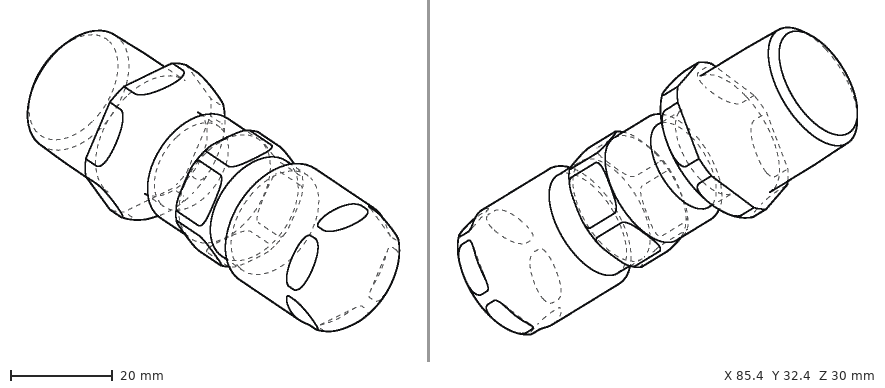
import cadquery as cq
import math

hex_sides = 6

tip_diameter = 23.0
tip_chamfer_length = 1.45
taper_start_diameter = 26.1
taper_end = 10.2
entry_diameter = 26.6
collar_start = 22.7
collar_end = 28.85
collar_flats = 30.0
collar_corners = 32.4
collar_round = 3.0
entry_root_fillet = 0.5
neck_diameter = 19.1
neck_root_fillet = 0.8

sleeve_start = 35.8
sleeve_diameter = 23.6
sleeve_round = 1.0
hex_start = 45.8
hex_end = 54.9
nut_flats = 24.0
nut_corners = 26.5
hex_round = 1.4
spigot_diameter = 22.6

cap_start = 61.1
cap_end = 85.35
cap_diameter = nut_corners
cap_rim_round = 0.9
cap_end_round = 3.1
cap_flats_wall = 79.8
cap_flats_root_fillet = 1.1


def cylinder(diameter, start, end):
    """Cylinder on the X axis from start to end."""
    return cq.Workplane("YZ", origin=(start, 0, 0)).circle(diameter / 2).extrude(end - start)


def hexagon(across_flats, start, end):
    """Hexagonal bar on the X axis with flats facing +Z and -Z."""
    across_corners = across_flats / math.cos(math.pi / hex_sides)
    bar = cq.Workplane("YZ", origin=(start, 0, 0))
    return bar.polygon(hex_sides, across_corners).extrude(end - start)


def edge_within(position, radius):
    """Selector for the circular edges at an X position that reach no further out than the radius."""
    tolerance = 0.01
    reach = radius + tolerance
    low_corner = (position - tolerance, -reach, -reach)
    high_corner = (position + tolerance, reach, reach)
    return cq.selectors.BoxSelector(low_corner, high_corner, boundingbox=True)


def make_entry_body():
    """Closed plug end, hexagon collar rounded towards the neck, and the neck."""
    tip_radius = tip_diameter / 2
    taper_radius = taper_start_diameter / 2
    entry_radius = entry_diameter / 2
    plug = (
        cq.Workplane("XY")
        .moveTo(0, 0)
        .lineTo(0, tip_radius)
        .lineTo(tip_chamfer_length, taper_radius)
        .lineTo(taper_end, entry_radius)
        .lineTo(collar_start, entry_radius)
        .lineTo(collar_start, 0)
        .close()
        .revolve(360, (0, 0, 0), (1, 0, 0))
    )
    collar = cylinder(collar_corners, collar_start, collar_end).faces(">X").edges().fillet(collar_round)
    collar = collar.intersect(hexagon(collar_flats, collar_start, collar_end))
    neck = cylinder(neck_diameter, collar_end, sleeve_start)
    body = plug.union(collar).union(neck)
    body = body.edges(edge_within(collar_start, entry_radius)).fillet(entry_root_fillet)
    return body.edges(edge_within(collar_end, neck_diameter / 2)).fillet(neck_root_fillet)


def make_coupling():
    """Sleeve, hexagon rounded at both ends, and the spigot that meets the cap nut."""
    sleeve = cylinder(sleeve_diameter, sleeve_start, hex_start).faces("<X").edges().fillet(sleeve_round)
    nut = cylinder(nut_corners, hex_start, hex_end).edges("%CIRCLE").fillet(hex_round)
    nut = nut.intersect(hexagon(nut_flats, hex_start, hex_end))
    spigot = cylinder(spigot_diameter, hex_end, cap_start)
    return sleeve.union(nut).union(spigot)


def make_flat_cutter():
    """Block that cuts the +Z flat, from the flat's end wall to the outer end of the cap."""
    stock_above_flat = cap_diameter / 2
    cutter = cq.Workplane("XY").box(
        cap_end - cap_flats_wall, cap_diameter, stock_above_flat, centered=(False, True, False)
    )
    cutter = cutter.edges("|Y and <X and <Z").fillet(cap_flats_root_fillet)
    return cutter.translate((cap_flats_wall, 0, nut_flats / 2))


def make_cap_nut():
    """Round cap with six wrench flats cut into its rounded outer end."""
    cap = cylinder(cap_diameter, cap_start, cap_end)
    cap = cap.faces("<X").edges().fillet(cap_rim_round)
    cap = cap.faces(">X").edges().fillet(cap_end_round)
    cutter = make_flat_cutter()
    for index in range(hex_sides):
        turn = 360 / hex_sides * index
        cap = cap.cut(cutter.rotate((0, 0, 0), (1, 0, 0), turn))
    return cap


entry_body = make_entry_body()
coupling = make_coupling()
cap_nut = make_cap_nut()

result = cq.Compound.makeCompound([entry_body.val(), coupling.val(), cap_nut.val()])